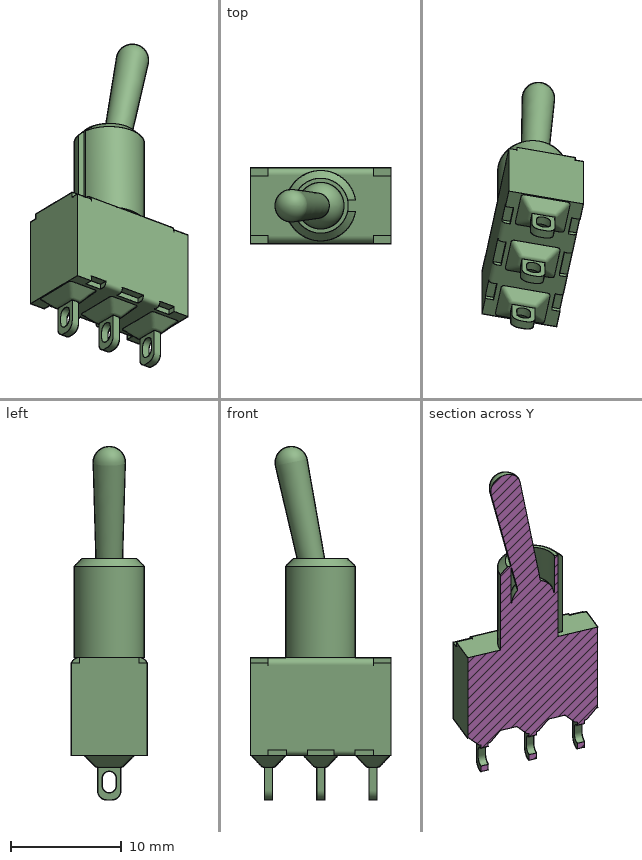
import cadquery as cq
import math


case_length = 12.7
case_width = 6.86
case_height = 8.84
end_step_length = 1.6
end_step_width = 0.76
end_step_depth = 0.5
top_edge_radius = 0.7

outer_notch_length = 1.65
middle_notch_length = 2.4
notch_height = 0.5
notch_depth = 0.76
tab_edge_radius = 0.4

bushing_diameter = 6.35
bushing_height = 8.92
bushing_chamfer = 0.7
bore_diameter = 4.2
keyway_width = 1.07
keyway_floor_radius = bushing_diameter / 2 - bushing_chamfer

overall_height = 31.86
terminal_drop = 4.0
lever_tilt = 11.6
pivot_depth = 4.3
lever_root_radius = 1.1
lever_tip_radius = 1.47

terminal_pitch = 4.7
terminal_count = 3
terminal_width = 2.1
terminal_thickness = 0.74
terminal_corner_diameter = 1.65
eye_width = 1.25
eye_length = 1.92
eye_height_above_end = 1.62
collar_height = 1.06
collar_top_length = 3.1
collar_top_width = 4.5
collar_bottom_length = 1.1
collar_bottom_width = 2.4
collar_edge_radius = 0.4

bushing_top = case_height + bushing_height
pivot_height = bushing_top - pivot_depth
lever_top = overall_height - terminal_drop


def notch_cutter(center_x, length, depth, height, side, z_center):
    """Block centred on a long edge of the case, reaching in by the given depth."""
    block = cq.Workplane("XY").box(length, 2 * depth, 2 * height)
    return block.translate((center_x, side * case_width / 2, z_center))


def make_case():
    case = cq.Workplane("XY").box(case_length, case_width, case_height, centered=(True, True, False))
    case = case.edges("|X and >Z").fillet(top_edge_radius)
    case = case.edges("|X and <Z").fillet(tab_edge_radius)

    block_x = (case_length - end_step_length) / 2
    for x in (-block_x, block_x):
        block = cq.Workplane("XY").box(
            end_step_length, case_width, case_height - end_step_depth, centered=(True, True, False)
        )
        case = case.union(block.translate((x, 0, 0)))

    notch_x = case_length / 2 - end_step_length - outer_notch_length / 2
    for side in (-1, 1):
        for x in (-block_x, block_x):
            case = case.cut(
                notch_cutter(x, end_step_length, end_step_width, end_step_depth, side, case_height)
            )
        for x in (-notch_x, notch_x):
            case = case.cut(notch_cutter(x, outer_notch_length, notch_depth, notch_height, side, 0))
        case = case.cut(notch_cutter(0, middle_notch_length, notch_depth, notch_height, side, 0))
    return case


def make_bushing():
    bushing = (
        cq.Workplane("XY")
        .workplane(offset=case_height)
        .circle(bushing_diameter / 2)
        .extrude(bushing_height)
        .faces(">Z")
        .chamfer(bushing_chamfer)
    )
    bore = (
        cq.Workplane("XY").workplane(offset=pivot_height).circle(bore_diameter / 2).extrude(pivot_depth)
    )
    keyway = (
        cq.Workplane("XY")
        .workplane(offset=case_height)
        .center(keyway_floor_radius + bushing_chamfer, 0)
        .rect(2 * bushing_chamfer, keyway_width)
        .extrude(bushing_height)
    )
    return bushing.cut(bore).cut(keyway)


def make_lever():
    """Upright half ball carrying a tapered, round-tipped shaft that leans towards -X."""
    tilt = math.radians(lever_tilt)
    shaft_length = (lever_top - lever_tip_radius - pivot_height) / math.cos(tilt)
    shaft = (
        cq.Workplane("XZ")
        .lineTo(lever_root_radius, 0)
        .lineTo(lever_tip_radius, shaft_length)
        .radiusArc((0, shaft_length + lever_tip_radius), -lever_tip_radius)
        .close()
        .revolve(360, (0, 0, 0), (0, 1, 0))
        .rotate((0, 0, 0), (0, 1, 0), -lever_tilt)
    )
    dome_radius = bore_diameter / 2
    dome = (
        cq.Workplane("XZ")
        .lineTo(dome_radius, 0)
        .radiusArc((0, dome_radius), -dome_radius)
        .close()
        .revolve(360, (0, 0, 0), (0, 1, 0))
    )
    return dome.union(shaft).translate((0, 0, pivot_height))


def make_terminal():
    collar = (
        cq.Workplane("XY")
        .rect(collar_top_length, collar_top_width)
        .workplane(offset=-collar_height)
        .rect(collar_bottom_length, collar_bottom_width)
        .loft()
        .edges("not >Z")
        .fillet(collar_edge_radius)
    )
    blade = (
        cq.Workplane("XY")
        .box(terminal_thickness, terminal_width, terminal_drop, centered=(True, True, False))
        .translate((0, 0, -terminal_drop))
        .edges("|X and <Z")
        .fillet(terminal_corner_diameter / 2)
    )
    eye = (
        cq.Workplane("YZ")
        .center(0, -terminal_drop + eye_height_above_end)
        .slot2D(eye_length, eye_width, 90)
        .extrude(terminal_thickness, both=True)
    )
    return collar.union(blade).cut(eye)


result = make_case().union(make_bushing()).union(make_lever())
for index in range(terminal_count):
    terminal_x = (index - (terminal_count - 1) / 2) * terminal_pitch
    result = result.union(make_terminal().translate((terminal_x, 0, 0)))